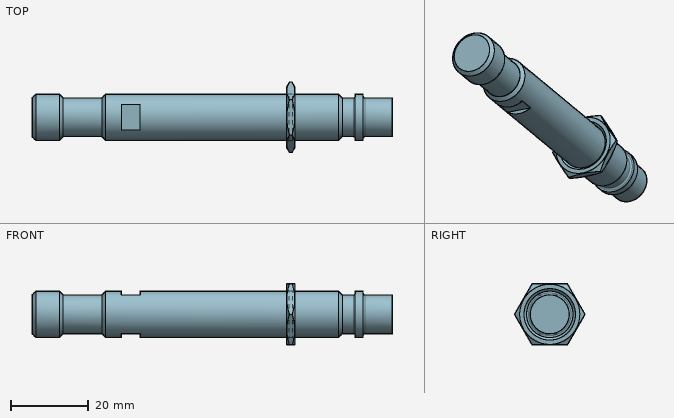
import cadquery as cq
import math

total_length = 93.0
body_diameter = 12.0
neck_diameter = 10.0
chamfer = 0.9

head_end = 8.0
body_start = 18.0
body_end = 80.1
collar_start = 83.4
collar_end = 85.5
collar_fillet = 0.5

flat_start = 23.1
flat_end = 27.9
flat_spacing = 10.0

nut_start = 65.7
nut_thickness = 2.2
nut_across_flats = 15.8
nut_face_diameter = 15.5
nut_chamfer_angle = 30.0
countersink = 0.65

body_radius = body_diameter / 2
neck_radius = neck_diameter / 2
nut_corner_radius = nut_across_flats / math.sqrt(3)


def turned(profile):
    """Revolve an (x, radius) profile about the X axis."""
    return cq.Workplane("XY").polyline(profile).close().revolve(360, (0, 0, 0), (1, 0, 0))


def make_shaft():
    """Stepped shaft with a head, a main body and a collar."""
    chamfer_radius = body_radius - chamfer
    neck_depth = body_radius - neck_radius
    shaft = turned([
        (0, 0),
        (0, chamfer_radius),
        (chamfer, body_radius),
        (head_end - chamfer, body_radius),
        (head_end, chamfer_radius),
        (head_end, neck_radius),
        (body_start, neck_radius),
        (body_start, chamfer_radius),
        (body_start + chamfer, body_radius),
        (body_end - neck_depth, body_radius),
        (body_end, neck_radius),
        (collar_start, neck_radius),
        (collar_start, body_radius),
        (collar_end, body_radius),
        (collar_end, neck_radius),
        (total_length, neck_radius),
        (total_length, 0),
    ])
    return cut_wrench_flats(fillet_collar_roots(shaft))


def fillet_collar_roots(shaft):
    """Round the inner corner on each side of the collar."""
    for root in (collar_start, collar_end):
        corner = cq.selectors.BoxSelector(
            (root - collar_fillet / 2, -body_radius, -body_radius),
            (root + collar_fillet / 2, body_radius, body_radius),
        )
        neck_edge = cq.selectors.RadiusNthSelector(0)
        shaft = shaft.edges("%CIRCLE").edges(corner).edges(neck_edge).fillet(collar_fillet)
    return shaft


def cut_wrench_flats(shaft):
    """Cut the two opposite flats, facing +Z and -Z."""
    flat_length = flat_end - flat_start
    for side in (1, -1):
        cutter = cq.Workplane("XY").box(flat_length, body_diameter, body_radius).translate(
            ((flat_start + flat_end) / 2, 0, side * (flat_spacing + body_radius) / 2)
        )
        shaft = shaft.cut(cutter)
    return shaft


def make_nut():
    """Hexagonal nut with corners on the Y axis, chamfered and countersunk on both faces."""
    nut_end = nut_start + nut_thickness
    hexagon = (
        cq.Workplane("YZ", origin=(nut_start, 0, 0))
        .polygon(6, 2 * nut_corner_radius)
        .extrude(nut_thickness)
    )
    face_radius = nut_face_diameter / 2
    chamfer_depth = (nut_corner_radius - face_radius) * math.tan(math.radians(nut_chamfer_angle))
    ring = turned([
        (nut_start, body_radius + countersink),
        (nut_start, face_radius),
        (nut_start + chamfer_depth, nut_corner_radius),
        (nut_end - chamfer_depth, nut_corner_radius),
        (nut_end, face_radius),
        (nut_end, body_radius + countersink),
        (nut_end - countersink, body_radius),
        (nut_start + countersink, body_radius),
    ])
    return hexagon.intersect(ring)


shaft = make_shaft()
nut = make_nut()

result = cq.Compound.makeCompound([shaft.val(), nut.val()])